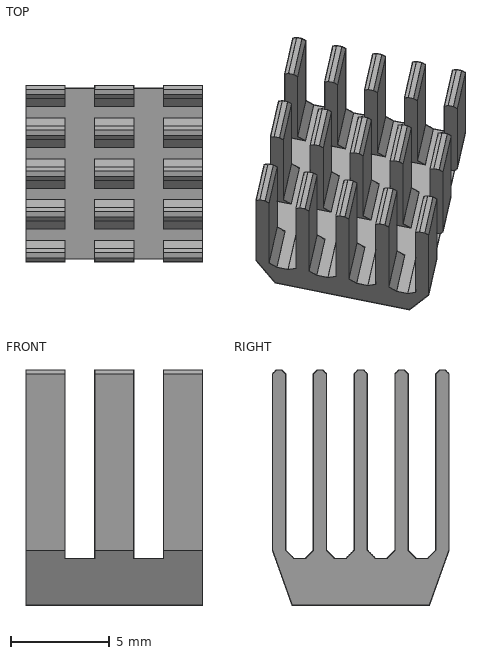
import cadquery as cq

length_x = 9.0
width_y = 9.0
height = 12.0

bottom_width = 7.0
floor_height = 2.4

fin_count = 5
fin_thickness = 0.68
groove_corner = 0.41
groove_width = (width_y - fin_count * fin_thickness) / (fin_count - 1)
fin_pitch = fin_thickness + groove_width
shoulder_height = floor_height + groove_corner
tip_chamfer = 0.2

blade_count = 3
slot_width = 1.5
blade_length = (length_x - (blade_count - 1) * slot_width) / blade_count
blade_pitch = blade_length + slot_width


def fin_tip(y_start):
    """Points up one side of a fin, over its bevelled tip and down to the bevel on the other side."""
    y_end = y_start + fin_thickness
    bevel_start = height - tip_chamfer
    return [
        (y_start, bevel_start),
        (y_start + tip_chamfer, height),
        (y_end - tip_chamfer, height),
        (y_end, bevel_start),
    ]


def groove_floor(y_start):
    """Points across the bottom of a groove with bevelled corners."""
    y_end = y_start + groove_width
    return [
        (y_start, shoulder_height),
        (y_start + groove_corner, floor_height),
        (y_end - groove_corner, floor_height),
        (y_end, shoulder_height),
    ]


def finned_profile():
    """Cross-section in the YZ plane, centred on Y with its bottom at Z = 0."""
    points = [
        (bottom_width / 2, 0),
        (-bottom_width / 2, 0),
        (-width_y / 2, shoulder_height),
    ]
    for fin in range(fin_count):
        fin_start = -width_y / 2 + fin * fin_pitch
        points += fin_tip(fin_start)
        if fin < fin_count - 1:
            points += groove_floor(fin_start + fin_thickness)
    points.append((width_y / 2, shoulder_height))
    return points


def cross_slot(x_start):
    """Cutter for one slot across all fins, down to the groove floor."""
    return cq.Workplane("XY").box(
        slot_width, width_y, height - floor_height, centered=(False, True, False)
    ).translate((x_start, 0, floor_height))


result = cq.Workplane("YZ").polyline(finned_profile()).close().extrude(length_x / 2, both=True)

for slot in range(blade_count - 1):
    result = result.cut(cross_slot(-length_x / 2 + blade_length + slot * blade_pitch))